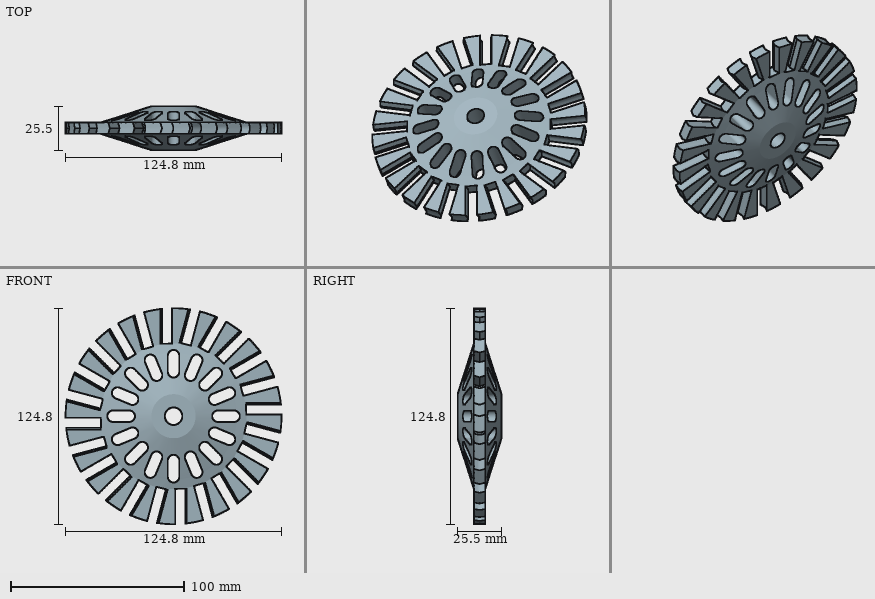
import cadquery as cq

rim_radius = 62.4
rim_thickness = 6.6
cone_radius = 42.0
hub_radius = 12.7
hub_thickness = 25.5
bore_diameter = 10.0

window_count = 16
window_width = 6.5
window_inner_radius = 22.3
window_outer_radius = 38.2

gap_count = 24
gap_width = 6.7
gap_right_edge = -1.0
gap_rise = 1.1
gap_fillet = 3.6
gap_floor = 41.9
gap_overshoot = 1.2

half_rim = rim_thickness / 2
half_hub = hub_thickness / 2


def make_body():
    """Flat rim around a double cone with a flat hub face on each side."""
    profile = (
        cq.Workplane("XY")
        .moveTo(0, -half_hub)
        .lineTo(hub_radius, -half_hub)
        .lineTo(cone_radius, -half_rim)
        .lineTo(rim_radius, -half_rim)
        .lineTo(rim_radius, half_rim)
        .lineTo(cone_radius, half_rim)
        .lineTo(hub_radius, half_hub)
        .lineTo(0, half_hub)
        .close()
    )
    return profile.revolve(360, (0, 0, 0), (0, 1, 0))


def make_bore():
    """Cylinder that cuts the central hole along Y."""
    return cq.Workplane("XZ").circle(bore_diameter / 2).extrude(half_hub, both=True)


def make_window():
    """Cutter for the window along +Z, passing right through the cone."""
    length = window_outer_radius - window_inner_radius
    middle = (window_outer_radius + window_inner_radius) / 2
    return (
        cq.Workplane("XZ")
        .center(0, middle)
        .slot2D(length, window_width, 90)
        .extrude(half_hub, both=True)
    )


def make_gap():
    """Chevron cutter along +Z, pointing towards +X, with only its leading corner rounded."""
    right = gap_right_edge
    left = right - gap_width
    section = [
        (left, -half_rim),
        (left + gap_rise, 0),
        (left, half_rim),
        (right, half_rim),
        (right + gap_rise, 0),
        (right, -half_rim),
    ]
    chevron = (
        cq.Workplane("XY", origin=(0, 0, gap_floor))
        .polyline(section)
        .close()
        .extrude(rim_radius - gap_floor + gap_overshoot)
    )
    return chevron.edges("|Z and >X").fillet(gap_fillet)


def cut_ring(body, cutter, count):
    """Cut evenly spaced copies of the cutter around the Y axis."""
    for index in range(count):
        angle = index * 360 / count
        body = body.cut(cutter.rotate((0, 0, 0), (0, 1, 0), angle))
    return body


result = make_body().cut(make_bore())
result = cut_ring(result, make_window(), window_count)
result = cut_ring(result, make_gap(), gap_count)